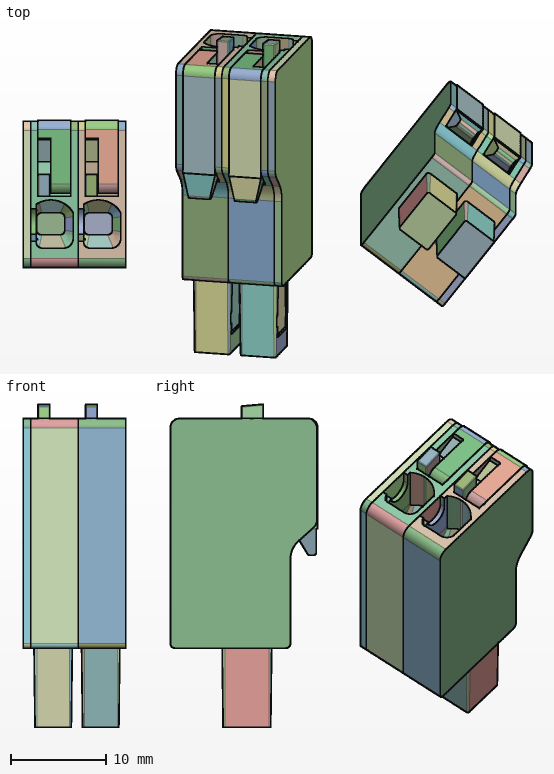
import cadquery as cq
import math


PLATE_WIDTH = 0.8
PITCH = 5.0
MODULE_COUNT = 2

BODY_BOTTOM = 8.33
BODY_TOP = 32.5
BODY_REAR = 15.4
LOWER_REAR = 12.65
TOP_ROUND = 1.0
BOTTOM_ROUND = 0.5
NECK_BOTTOM = 17.7
NECK_RADIUS = 2.55
NECK_SWEEP = 48.0
BACK_ROUND = 1.02

LEVER_LEFT = 0.75
LEVER_WIDTH = 3.47
LEVER_PROUD = 0.1
LEVER_DEPTH = 1.22
LEG_THICKNESS = 1.97
RECESS_FRONT = 7.48
LEVER_FRONT = 7.82
LEG_BOTTOM = 20.88
HOOK_BOTTOM = 18.1
HOOK_TIP_WIDTH = 0.85
HOOK_TIP_ROUND = 0.35
HOOK_INSET = 0.15
HOOK_TAPER_SIDE = 1.8
LEG_TAPER_START = 19.72

SLOT_WIDTH = 1.33
SLOT_REAR = 13.6
RAMP_REAR = 13.45
RAMP_FRONT = 11.12
RAMP_START_DEPTH = 0.45
BUTTON_WIDTH = 1.25
BUTTON_REAR = 9.8
BUTTON_TOP = 34.0
BUTTON_TILT_ANGLE = 5.0
BUTTON_ROUND = 0.1

ENTRY_LEFT = 0.55
ENTRY_RIGHT = 4.45
ENTRY_FRONT = 2.05
ENTRY_REAR = 7.1
ENTRY_ARCH_RADIUS = 2.75
ENTRY_LEFT_WALL_END = 6.63
ENTRY_RIGHT_WALL_END = 5.78
ENTRY_RIGHT_ROUND = 1.02
ENTRY_LEFT_ROUND = 0.68
ENTRY_DEPTH = 5.1
FUNNEL_DEPTH = 1.7
FUNNEL_RIGHT = 5.27
FUNNEL_LEFT_ROUND = 0.27
FUNNEL_RIGHT_ROUND = 1.6
FLOOR_LEFT = 0.6
FLOOR_RIGHT = 3.57
FLOOR_FRONT = 3.45
FLOOR_REAR = 5.75
FLOOR_ROUND = 0.5

RELIEF_REAR = 6.2
RELIEF_STEP = 3.5
RELIEF_FRONT = 2.75
RELIEF_DEPTH = 2.72
RELIEF_STEP_DROP = 0.27

PRONG_CENTER_X = 2.35
PRONG_CENTER_Y = 8.05
PRONG_WIDTH = 4.05
PRONG_LENGTH = 5.25
PRONG_ROUND = 0.3
PRONG_DRAFT_ANGLE = 0.7

WINDOW_FLOOR = 0.17
WINDOW_WIDTH = 3.5
WINDOW_EAR_WIDTH = 4.25
WINDOW_EAR_TOP = 4.5
WINDOW_EAR_BOTTOM = 3.2
WINDOW_BOTTOM = 2.2
WINDOW_LEDGE_DROP = 0.35
EAR_ROUND = 0.27

LEVER_REAR = BODY_REAR + LEVER_PROUD
LEG_INNER = LEVER_REAR - LEG_THICKNESS
RECESS_FLOOR = BODY_TOP - LEVER_DEPTH
LEVER_RIGHT = LEVER_LEFT + LEVER_WIDTH


def box(x0, x1, y0, y1, z0, z1):
    return cq.Workplane("XY").box(x1 - x0, y1 - y0, z1 - z0, centered=False).translate((x0, y0, z0))


def side_plane(x):
    """Workplane whose local axes are Y and Z, placed at the given X."""
    return cq.Workplane("YZ", origin=(x, 0, 0))


def outline_slab(x, width):
    """Slab with the plug's side outline; a sloping shoulder leads to the stepped-in lower back."""
    sweep = math.radians(NECK_SWEEP)

    def neck_point(angle):
        return (
            LOWER_REAR + NECK_RADIUS * (1 - math.cos(angle)),
            NECK_BOTTOM + NECK_RADIUS * math.sin(angle),
        )

    shoulder_y, shoulder_z = neck_point(sweep)
    back_z = shoulder_z + (BODY_REAR - shoulder_y) / math.tan(sweep)
    slab = (
        side_plane(x)
        .moveTo(0, BODY_BOTTOM)
        .lineTo(LOWER_REAR, BODY_BOTTOM)
        .lineTo(LOWER_REAR, NECK_BOTTOM)
        .threePointArc(neck_point(sweep / 2), neck_point(sweep))
        .lineTo(BODY_REAR, back_z)
        .lineTo(BODY_REAR, BODY_TOP)
        .lineTo(0, BODY_TOP)
        .close()
        .extrude(width)
    )
    slab = slab.edges("|X and >Z").fillet(TOP_ROUND)
    slab = slab.edges("|X and <Z").fillet(BOTTOM_ROUND)
    back_corner = cq.selectors.NearestToPointSelector((x + width / 2, BODY_REAR, back_z))
    return slab.edges("|X").edges(back_corner).fillet(BACK_ROUND)


def lever_recess():
    """Channel across the top and down the back that holds the lever and the button."""
    top = box(LEVER_LEFT, LEVER_RIGHT, RECESS_FRONT, LEVER_REAR, RECESS_FLOOR, BODY_TOP)
    back = box(LEVER_LEFT, LEVER_RIGHT, LEG_INNER, LEVER_REAR, NECK_BOTTOM, BODY_TOP)
    return top.union(back)


def entry_bore():
    """Upright bore with an arched rear wall, deep enough to reach the bottom of the funnel."""
    depth = ENTRY_DEPTH + FUNNEL_DEPTH
    return (
        cq.Workplane("XY", origin=(0, 0, BODY_TOP - depth))
        .moveTo(ENTRY_LEFT, ENTRY_LEFT_WALL_END)
        .radiusArc((ENTRY_RIGHT, ENTRY_RIGHT_WALL_END), ENTRY_ARCH_RADIUS)
        .lineTo(ENTRY_RIGHT, ENTRY_FRONT + ENTRY_RIGHT_ROUND)
        .radiusArc((ENTRY_RIGHT - ENTRY_RIGHT_ROUND, ENTRY_FRONT), ENTRY_RIGHT_ROUND)
        .lineTo(ENTRY_LEFT + ENTRY_LEFT_ROUND, ENTRY_FRONT)
        .radiusArc((ENTRY_LEFT, ENTRY_FRONT + ENTRY_LEFT_ROUND), ENTRY_LEFT_ROUND)
        .close()
        .extrude(depth)
    )


def rounded_rectangle(z, left, right, front, rear, left_round, right_round):
    """Closed wire at height z with its own corner radius on the left and on the right."""
    return (
        cq.Workplane("XY", origin=(0, 0, z))
        .moveTo(left, rear - left_round)
        .radiusArc((left + left_round, rear), left_round)
        .lineTo(right - right_round, rear)
        .radiusArc((right, rear - right_round), right_round)
        .lineTo(right, front + right_round)
        .radiusArc((right - right_round, front), right_round)
        .lineTo(left + left_round, front)
        .radiusArc((left, front + left_round), left_round)
        .close()
        .val()
    )


def wire_entry():
    """The bore, narrowed at its lower end by a funnel that leads to a small flat floor."""
    funnel_top = BODY_TOP - ENTRY_DEPTH
    floor = rounded_rectangle(
        funnel_top - FUNNEL_DEPTH, FLOOR_LEFT, FLOOR_RIGHT, FLOOR_FRONT, FLOOR_REAR, FLOOR_ROUND, FLOOR_ROUND
    )
    mouth = rounded_rectangle(
        funnel_top, ENTRY_LEFT, FUNNEL_RIGHT, ENTRY_FRONT, ENTRY_REAR, FUNNEL_LEFT_ROUND, FUNNEL_RIGHT_ROUND
    )
    funnel = cq.Workplane(cq.Solid.makeLoft([floor, mouth], True))
    above_funnel = box(ENTRY_LEFT, FUNNEL_RIGHT, ENTRY_FRONT, ENTRY_REAR, funnel_top, BODY_TOP)
    return entry_bore().intersect(funnel.union(above_funnel))


def wall_relief():
    """Round-bottomed notch in the left wall, with a small sloping step at its front end."""
    radius = (RELIEF_REAR - RELIEF_STEP) / 2
    round_z = BODY_TOP - RELIEF_DEPTH + radius
    return (
        side_plane(0)
        .moveTo(RELIEF_REAR, BODY_TOP)
        .lineTo(RELIEF_REAR, round_z)
        .threePointArc((RELIEF_REAR - radius, round_z - radius), (RELIEF_STEP, round_z))
        .lineTo(RELIEF_FRONT, round_z - RELIEF_STEP_DROP)
        .lineTo(RELIEF_FRONT, BODY_TOP)
        .close()
        .extrude(FLOOR_LEFT)
    )


def prong():
    """Tapered prong with rounded upright edges and a shallow window in its left face."""
    blade = (
        cq.Workplane("XY", origin=(PRONG_CENTER_X, PRONG_CENTER_Y, BODY_BOTTOM))
        .sketch()
        .rect(PRONG_WIDTH, PRONG_LENGTH)
        .vertices()
        .fillet(PRONG_ROUND)
        .finalize()
        .extrude(-BODY_BOTTOM, taper=PRONG_DRAFT_ANGLE)
    )
    return blade.cut(prong_window())


def prong_window():
    """Recess with an ear on each side and a sloping ledge along its lower end."""
    left = PRONG_CENTER_X - PRONG_WIDTH / 2
    floor_x = left + WINDOW_FLOOR
    y0 = PRONG_CENTER_Y - WINDOW_WIDTH / 2
    y1 = y0 + WINDOW_WIDTH
    ear_y0 = PRONG_CENTER_Y - WINDOW_EAR_WIDTH / 2
    ear_y1 = ear_y0 + WINDOW_EAR_WIDTH
    ears = box(left, floor_x, ear_y0, ear_y1, WINDOW_EAR_BOTTOM, WINDOW_EAR_TOP)
    window = (
        box(left, floor_x, y0, y1, WINDOW_BOTTOM, BODY_BOTTOM)
        .union(ears.edges("|X").fillet(EAR_ROUND))
    )
    ledge = (
        cq.Workplane("XZ", origin=(0, y1, 0))
        .moveTo(floor_x, WINDOW_BOTTOM)
        .lineTo(left, WINDOW_BOTTOM)
        .lineTo(left, WINDOW_BOTTOM - WINDOW_LEDGE_DROP)
        .close()
        .extrude(WINDOW_WIDTH)
    )
    return window.union(ledge)


def make_end_plate():
    return outline_slab(0, PLATE_WIDTH)


def make_module():
    body = outline_slab(0, PITCH)
    body = body.cut(lever_recess())
    body = body.cut(wire_entry())
    body = body.cut(wall_relief())
    return body.union(prong())


def make_lever():
    """L-shaped latch: a slab on top, a leg down the back and a tapered hook at its lower end."""
    lever = (
        side_plane(LEVER_LEFT)
        .moveTo(LEVER_FRONT, RECESS_FLOOR)
        .lineTo(LEVER_FRONT, BODY_TOP)
        .lineTo(LEVER_REAR, BODY_TOP)
        .lineTo(LEVER_REAR, LEG_BOTTOM)
        .lineTo(LEVER_REAR - HOOK_INSET, LEG_BOTTOM)
        .lineTo(LEVER_REAR - HOOK_INSET, HOOK_BOTTOM)
        .lineTo(LEVER_REAR - HOOK_INSET - HOOK_TIP_WIDTH, HOOK_BOTTOM)
        .lineTo(LEG_INNER, LEG_TAPER_START)
        .lineTo(LEG_INNER, RECESS_FLOOR)
        .close()
        .extrude(LEVER_WIDTH)
    )
    lever = lever.edges("|X and >Z").fillet(TOP_ROUND)
    lever = lever.edges("|X and <Z").fillet(HOOK_TIP_ROUND)
    for trim in hook_side_trims():
        lever = lever.cut(trim)
    return lever.cut(lever_slot())


def hook_side_trims():
    """Wedges that narrow the hook towards its tip on both sides."""
    trims = []
    for side_x, inward in ((LEVER_LEFT, 0.35), (LEVER_RIGHT, -0.35)):
        wedge = (
            cq.Workplane("XZ", origin=(0, LEVER_REAR, 0))
            .moveTo(side_x, LEG_BOTTOM)
            .lineTo(side_x + inward * HOOK_TAPER_SIDE, HOOK_BOTTOM)
            .lineTo(side_x, HOOK_BOTTOM)
            .close()
            .extrude(LEG_THICKNESS)
        )
        trims.append(wedge)
    return trims


def lever_slot():
    """Slot along the left edge; its floor ramps down towards the button."""
    return (
        side_plane(LEVER_LEFT)
        .moveTo(SLOT_REAR, BODY_TOP)
        .lineTo(RAMP_REAR, BODY_TOP - RAMP_START_DEPTH)
        .lineTo(RAMP_FRONT, RECESS_FLOOR)
        .lineTo(LEVER_FRONT, RECESS_FLOOR)
        .lineTo(LEVER_FRONT, BODY_TOP)
        .close()
        .extrude(SLOT_WIDTH)
    )


def make_button():
    """Button on the recess floor; its tilted top peaks at BUTTON_TOP after rounding."""
    tilt = math.radians(BUTTON_TILT_ANGLE)
    crest = BUTTON_TOP + BUTTON_ROUND * (math.tan(tilt) + 1 / math.cos(tilt) - 1)
    front_top = crest - (BUTTON_REAR - RECESS_FRONT) * math.tan(tilt)
    button = (
        side_plane(LEVER_LEFT)
        .moveTo(RECESS_FRONT, RECESS_FLOOR)
        .lineTo(RECESS_FRONT, front_top)
        .lineTo(BUTTON_REAR, crest)
        .lineTo(BUTTON_REAR, RECESS_FLOOR)
        .close()
        .extrude(BUTTON_WIDTH)
    )
    return button.edges("not <Z").fillet(BUTTON_ROUND)


bodies = make_end_plate().solids().vals()
for index in range(MODULE_COUNT):
    module_place = (PLATE_WIDTH + index * PITCH, 0, 0)
    module = make_module().translate(module_place)
    lever = make_lever().translate(module_place)
    button = make_button().translate(module_place)
    bodies += [module.solids().val(), lever.solids().val(), button.solids().val()]

result = cq.Compound.makeCompound(bodies)